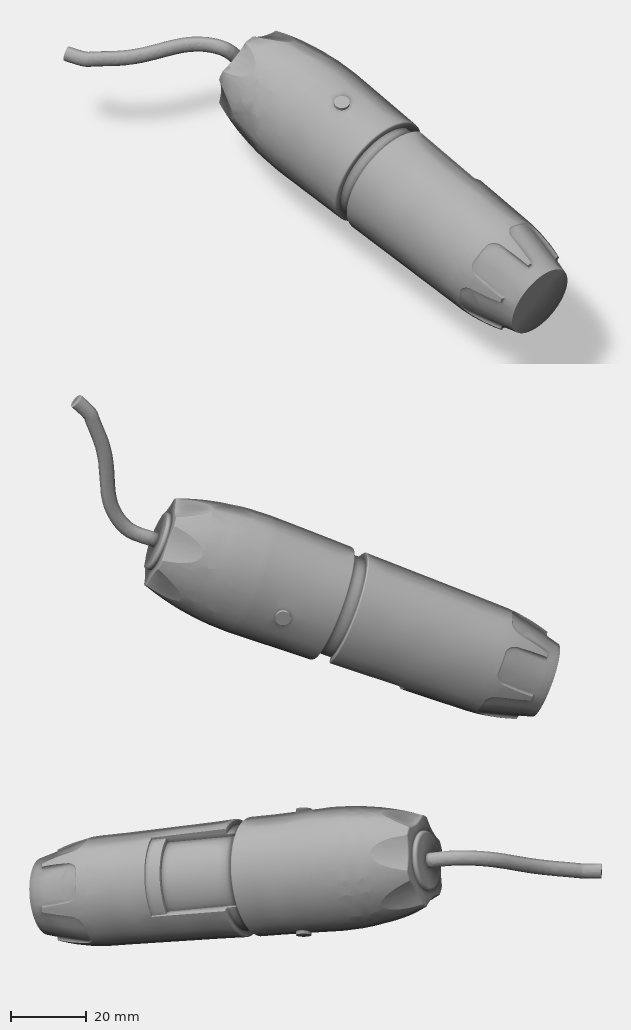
import cadquery as cq
import math


HOUSING_LENGTH = 49.3
REAR_RADIUS = 12.1
WIDEST_RADIUS = 16.5
DOME_END = 25.2
BAND_END = 26.0
HOUSING_FRONT_RADIUS = 15.8
LIP_FILLET = 0.5
DOME_RISE = WIDEST_RADIUS - REAR_RADIUS
DOME_RADIUS = (DOME_END**2 + DOME_RISE**2) / (2 * DOME_RISE)

BOSS_RADIUS = 8.0
BOSS_HEIGHT = 1.2
BOSS_FILLET = 0.7

FLUTE_COUNT = 6
FLUTE_CURVE_RADIUS = 17.0
FLUTE_FLOOR_RADIUS = 10.4
FLUTE_ANGLE = 25.5

NECK_RADIUS = 14.0
SLEEVE_START = 53.0
SLEEVE_REAR_RADIUS = 15.7
SLEEVE_CHAMFER = 0.3
NOSE_START = 92.1
NOSE_START_RADIUS = 14.7
NOSE_END = 110.3
NOSE_END_RADIUS = 10.2

FINGER_COUNT = 6
FINGER_ROOT = 94.8
FINGER_NECK = 97.7
FINGER_TIP = 106.5
FINGER_ROOT_HALF = 4.5
FINGER_NECK_HALF = 1.9
FINGER_TIP_HALF = 0.6
FINGER_BASE_FILLET = 0.6
FINGER_CURVE_RADIUS = 51.8
CONE_START_RADIUS = 14.4

WINDOW_END = 70.5
STEP_END = 74.6
WINDOW_ANGLE = 90.0
WINDOW_FLOOR_RADIUS = 13.2
STEP_FLOOR_RADIUS = 14.5

PIN_X = 35.2
PIN_RADIUS = 2.0
PIN_REACH = 17.0
PIN_LENGTH = 4.5

CABLE_RADIUS = 2.0
CABLE_SOCKET_DEPTH = 3.0
CABLE_POINTS = [
    (-8.7, -0.1),
    (-15.8, -4.9),
    (-20.6, -13.0),
    (-26.0, -22.2),
    (-31.0, -27.7),
    (-37.0, -31.2),
]
CABLE_END_ANGLE = 22.0


def revolve_about_x(profile):
    return profile.close().revolve(360, (0, 0, 0), (1, 0, 0))


def dome_radius_at(x):
    """Radius of the domed rear of the housing at position x."""
    return WIDEST_RADIUS - DOME_RADIUS + math.sqrt(DOME_RADIUS**2 - (DOME_END - x)**2)


def make_flute():
    """Tilted cylinder that scoops one flute into the +Y side of the dome."""
    length = 4 * DOME_END
    slope = math.radians(FLUTE_ANGLE)
    floor_direction = cq.Vector(math.cos(slope), math.sin(slope), 0)
    outward = cq.Vector(-math.sin(slope), math.cos(slope), 0)
    start = (
        cq.Vector(0, FLUTE_FLOOR_RADIUS, 0)
        + outward * FLUTE_CURVE_RADIUS
        - floor_direction * (length / 2)
    )
    return cq.Workplane(cq.Solid.makeCylinder(FLUTE_CURVE_RADIUS, length, start, floor_direction))


def make_pin(side):
    """Pin on the +Z side (side = 1) or the -Z side (side = -1)."""
    return (
        cq.Workplane("XY")
        .workplane(offset=side * PIN_REACH)
        .center(PIN_X, 0)
        .circle(PIN_RADIUS)
        .extrude(-side * PIN_LENGTH)
    )


def make_cable():
    final = math.radians(CABLE_END_ANGLE)
    path = (
        cq.Workplane("XY")
        .moveTo(CABLE_SOCKET_DEPTH, 0)
        .lineTo(-BOSS_HEIGHT, 0)
        .spline(
            CABLE_POINTS,
            tangents=[(-1, 0), (-math.cos(final), -math.sin(final))],
            includeCurrent=True,
        )
    )
    return (
        cq.Workplane("YZ")
        .workplane(offset=CABLE_SOCKET_DEPTH)
        .circle(CABLE_RADIUS)
        .sweep(path)
    )


def make_housing():
    middle = DOME_END / 2
    body = revolve_about_x(
        cq.Workplane("XY")
        .lineTo(0, REAR_RADIUS)
        .threePointArc((middle, dome_radius_at(middle)), (DOME_END, WIDEST_RADIUS))
        .lineTo(BAND_END, WIDEST_RADIUS)
        .lineTo(HOUSING_LENGTH, HOUSING_FRONT_RADIUS)
        .lineTo(HOUSING_LENGTH, 0)
    )
    body = body.faces(">X").edges().fillet(LIP_FILLET)
    flute = make_flute()
    for i in range(FLUTE_COUNT):
        body = body.cut(flute.rotate((0, 0, 0), (1, 0, 0), i * 360 / FLUTE_COUNT))
    body = body.faces("<X").edges().fillet(LIP_FILLET)
    boss = cq.Workplane("YZ").circle(BOSS_RADIUS).extrude(-BOSS_HEIGHT)
    boss = boss.faces("<X").edges().fillet(BOSS_FILLET)
    return body.union(boss)


def nose_curve(x):
    """Radius of the rounded finger tops at position x; the curve is tangent to the sleeve."""
    slope = (SLEEVE_REAR_RADIUS - NOSE_START_RADIUS) / (NOSE_START - SLEEVE_START)
    tilt = math.atan(slope)
    center_x = NOSE_START - FINGER_CURVE_RADIUS * math.sin(tilt)
    center_r = NOSE_START_RADIUS - FINGER_CURVE_RADIUS * math.cos(tilt)
    return center_r + math.sqrt(FINGER_CURVE_RADIUS**2 - (x - center_x)**2)


def make_finger():
    """Prism with the outline of the finger on the +Z side."""
    half = (
        cq.Workplane("XY")
        .moveTo(FINGER_TIP, FINGER_TIP_HALF)
        .lineTo(FINGER_NECK, FINGER_NECK_HALF)
        .tangentArcPoint((FINGER_ROOT, FINGER_ROOT_HALF), relative=False)
        .lineTo(FINGER_ROOT, 0)
        .lineTo(FINGER_TIP, 0)
        .close()
        .extrude(SLEEVE_REAR_RADIUS)
    )
    return half.union(half.mirror("XZ"))


def make_nose_relief():
    """Ring outside the lower cone face of the nose, without the fingers."""
    ring = revolve_about_x(
        cq.Workplane("XY")
        .moveTo(FINGER_ROOT, CONE_START_RADIUS)
        .lineTo(FINGER_ROOT, SLEEVE_REAR_RADIUS)
        .lineTo(NOSE_END, SLEEVE_REAR_RADIUS)
        .lineTo(NOSE_END, NOSE_END_RADIUS)
    )
    finger = make_finger()
    for i in range(FINGER_COUNT):
        ring = ring.cut(finger.rotate((0, 0, 0), (1, 0, 0), i * 360 / FINGER_COUNT))
    base_edges = ring.faces("%CONE").edges("not >X")
    return base_edges.fillet(FINGER_BASE_FILLET)


def make_window(start, end, floor_radius):
    """Sector-shaped recess in the +Y side with a cylindrical floor around the axis."""
    sector = (
        cq.Workplane("XY")
        .moveTo(start, floor_radius)
        .lineTo(end, floor_radius)
        .lineTo(end, WIDEST_RADIUS)
        .lineTo(start, WIDEST_RADIUS)
        .close()
        .revolve(WINDOW_ANGLE, (0, 0, 0), (1, 0, 0))
    )
    return sector.rotate((0, 0, 0), (1, 0, 0), -WINDOW_ANGLE / 2)


def make_barrel():
    middle = (NOSE_START + NOSE_END) / 2
    body = revolve_about_x(
        cq.Workplane("XY")
        .moveTo(HOUSING_LENGTH, 0)
        .lineTo(HOUSING_LENGTH, NECK_RADIUS)
        .lineTo(SLEEVE_START, NECK_RADIUS)
        .lineTo(SLEEVE_START, SLEEVE_REAR_RADIUS - SLEEVE_CHAMFER)
        .lineTo(SLEEVE_START + SLEEVE_CHAMFER, SLEEVE_REAR_RADIUS)
        .lineTo(NOSE_START, NOSE_START_RADIUS)
        .threePointArc((middle, nose_curve(middle)), (NOSE_END, nose_curve(NOSE_END)))
        .lineTo(NOSE_END, 0)
    )
    body = body.cut(make_nose_relief())
    body = body.cut(make_window(HOUSING_LENGTH, WINDOW_END, WINDOW_FLOOR_RADIUS))
    return body.cut(make_window(WINDOW_END, STEP_END, STEP_FLOOR_RADIUS))


cable = make_cable()
pins = [make_pin(side) for side in (1, -1)]
housing = make_housing().cut(cable)
for pin in pins:
    housing = housing.cut(pin)
barrel = make_barrel()

result = cq.Compound.makeCompound(
    [housing.val(), barrel.val(), cable.val(), *[pin.val() for pin in pins]]
)